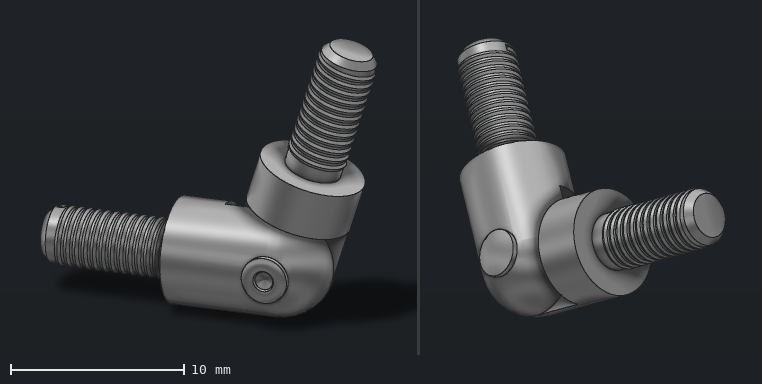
import cadquery as cq
import math

body_radius = 3.16
pivot_to_shoulder = 6.35
collar_length = 2.9
joint_angle = 107.3

shank_length = 7.95
core_radius = 1.68
tip_radius = 1.3
tip_chamfer_length = 0.45
thread_length = 6.52
thread_turns = 12
thread_pitch = thread_length / thread_turns
thread_height = 0.1
thread_base = 0.38
thread_start = 0.65
thread_root_overlap = 0.05

rivet_radius = 0.9
head_radius = 1.38
head_rim = body_radius
dome_height = 0.3
rolled_crest = 3.32
rolled_crest_radius = 0.88
rolled_inner_edge = 3.28
socket_radius = 0.62
socket_floor_radius = 0.55
socket_lip_depth = 0.12
socket_cone_depth = 0.3
head_seat = math.sqrt(body_radius**2 - head_radius**2)


def make_thread():
    """Left-hand triangular ridge along +Z, starting on the +X side at Z = 0."""
    root_radius = core_radius - thread_root_overlap
    slope = thread_height / (thread_base / 2)
    half_root = (thread_height + thread_root_overlap) / slope
    path = cq.Wire.makeHelix(thread_pitch, thread_length, root_radius, lefthand=True)
    return (
        cq.Workplane("XZ")
        .moveTo(root_radius, -half_root)
        .lineTo(core_radius + thread_height, 0)
        .lineTo(root_radius, half_root)
        .close()
        .sweep(path, isFrenet=True)
    )


def make_shank():
    """Threaded shank standing on Z = 0, with a chamfered tip."""
    core = (
        cq.Workplane("XZ")
        .lineTo(core_radius, 0)
        .lineTo(core_radius, shank_length - tip_chamfer_length)
        .lineTo(tip_radius, shank_length)
        .lineTo(0, shank_length)
        .close()
        .revolve(360, (0, 0, 0), (0, 1, 0))
    )
    return core.union(make_thread().translate((0, 0, thread_start)))


def make_rivet():
    """Rivet along Y: domed head on the +Y end, rolled head with a socket on the -Y end."""
    dome_radius = (head_radius**2 + dome_height**2) / (2 * dome_height)
    socket_lip = -rolled_inner_edge + socket_lip_depth
    profile = (
        cq.Workplane("XY")
        .moveTo(0, head_rim + dome_height)
        .radiusArc((head_radius, head_rim), dome_radius)
        .lineTo(head_radius, head_seat)
        .lineTo(rivet_radius, head_seat)
        .lineTo(rivet_radius, -head_seat)
        .lineTo(head_radius, -head_seat)
        .lineTo(head_radius, -head_rim)
        .threePointArc((rolled_crest_radius, -rolled_crest), (socket_radius, -rolled_inner_edge))
        .lineTo(socket_floor_radius, socket_lip)
        .lineTo(0, socket_lip + socket_cone_depth)
        .close()
    )
    return profile.revolve(360, (0, 0, 0), (0, 1, 0))


def make_joint_body():
    """Joint body with its pivot on Y, its shank along +Z and its flat mating face at Y = 0."""
    step_height = pivot_to_shoulder - collar_length
    barrel = cq.Workplane("XY").circle(body_radius).extrude(pivot_to_shoulder)
    round_end = cq.Workplane("XY").sphere(body_radius)
    cutaway = cq.Workplane("XY").box(
        2 * body_radius, body_radius, body_radius + step_height, centered=(True, False, False)
    )
    rivet_hole = cq.Workplane("XZ").circle(rivet_radius).extrude(body_radius)
    head_pocket = (
        cq.Workplane("XZ", origin=(0, -head_seat, 0)).circle(head_radius).extrude(body_radius)
    )
    body = (
        barrel.union(round_end)
        .cut(cutaway.translate((0, 0, -body_radius)))
        .cut(rivet_hole)
        .cut(head_pocket)
    )
    return body.union(make_shank().translate((0, 0, pivot_to_shoulder)))


joint_blank = make_joint_body()
lower_tilt = -90
upper_tilt = lower_tilt + joint_angle
joint_bodies = []
for half_turn, tilt in ((0, lower_tilt), (180, upper_tilt)):
    placed = joint_blank.rotate((0, 0, 0), (0, 0, 1), half_turn).rotate((0, 0, 0), (0, 1, 0), tilt)
    joint_bodies.append(placed.val())

rivet = make_rivet()

result = cq.Compound.makeCompound([*joint_bodies, rivet.val()])